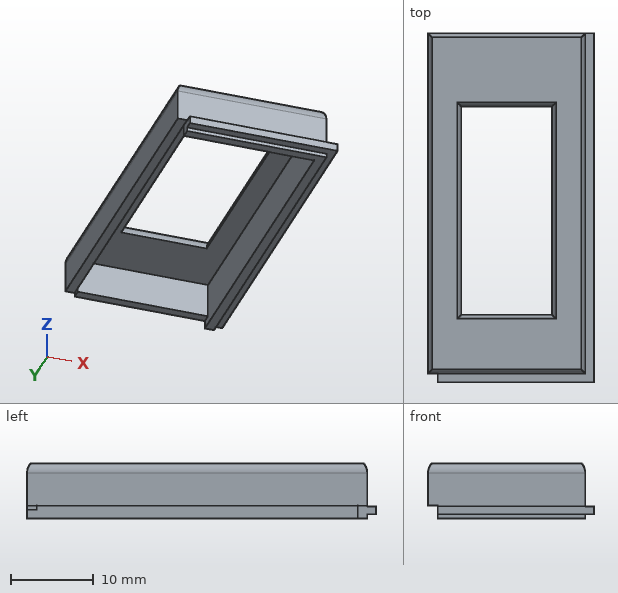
import cadquery as cq
import math

total_x = 20.07
total_y = 42.15
total_z = 6.7

lip_reach = 1.05
body_x = total_x - lip_reach
wall = 1.2
plate_thickness = 1.2
plate_bottom = total_z - plate_thickness

lip_bottom = 0.5
lip_top = 1.48

left_wall_bottom = 1.55
back_wall_bottom = 1.05

window_margin_x = 3.55
window_margin_front = 6.6
window_margin_back = 8.35

rim_bevel = 0.15
rim_inset = 0.5
rim_height = 1.2
rim_start = total_z - rim_height
arc_end = total_z - rim_bevel
arc_inset = rim_inset - rim_bevel
arc_height = rim_height - rim_bevel
arc_radius = (arc_height**2 + arc_inset**2) / (2 * arc_inset)
arc_mid_angle = math.asin(arc_height / arc_radius) / 2
arc_mid_inset = arc_radius * (1 - math.cos(arc_mid_angle))
arc_mid_z = rim_start + arc_radius * math.sin(arc_mid_angle)


def block(x_range, y_range, z_range):
    """Axis-aligned block between the given limits."""
    sizes = [high - low for low, high in (x_range, y_range, z_range)]
    corner = (x_range[0], y_range[0], z_range[0])
    return cq.Workplane("XY").box(*sizes, centered=False).translate(corner)


def rim_profile(plane, low, high, direction):
    """Outline with upright sides that curve near the top: inward for direction 1, outward for -1."""
    return (
        cq.Workplane(plane)
        .moveTo(low, 0)
        .lineTo(low, rim_start)
        .threePointArc((low + direction * arc_mid_inset, arc_mid_z), (low + direction * arc_inset, arc_end))
        .lineTo(low + direction * rim_inset, total_z)
        .lineTo(high - direction * rim_inset, total_z)
        .lineTo(high - direction * arc_inset, arc_end)
        .threePointArc((high - direction * arc_mid_inset, arc_mid_z), (high, rim_start))
        .lineTo(high, 0)
        .close()
    )


def curved_block(x_range, y_range, direction):
    """Block whose top rim curves inward (1) or outward (-1), with mitred corners."""
    along_y = rim_profile("XZ", *x_range, direction).extrude(-total_y)
    along_x = rim_profile("YZ", *y_range, direction).extrude(total_x)
    return along_y.intersect(along_x)


frame = curved_block((0, body_x), (lip_reach, total_y), 1)
inner_x = (wall, body_x - wall)
inner_y = (lip_reach + wall, total_y - wall)
frame = frame.cut(block(inner_x, inner_y, (0, plate_bottom)))

window_x = (window_margin_x + rim_inset, body_x - window_margin_x - rim_inset)
window_y = (
    lip_reach + window_margin_front + rim_inset,
    total_y - window_margin_back - rim_inset,
)
frame = frame.cut(curved_block(window_x, window_y, -1))

frame = frame.cut(block((0, wall), (0, total_y), (0, left_wall_bottom)))
frame = frame.cut(block(inner_x, (total_y - wall, total_y), (0, back_wall_bottom)))

lip_z = (lip_bottom, lip_top)
front_lip = block((wall, total_x), (0, lip_reach), lip_z)
side_lip = block((body_x, total_x), (0, total_y), lip_z)

result = frame.union(front_lip).union(side_lip)